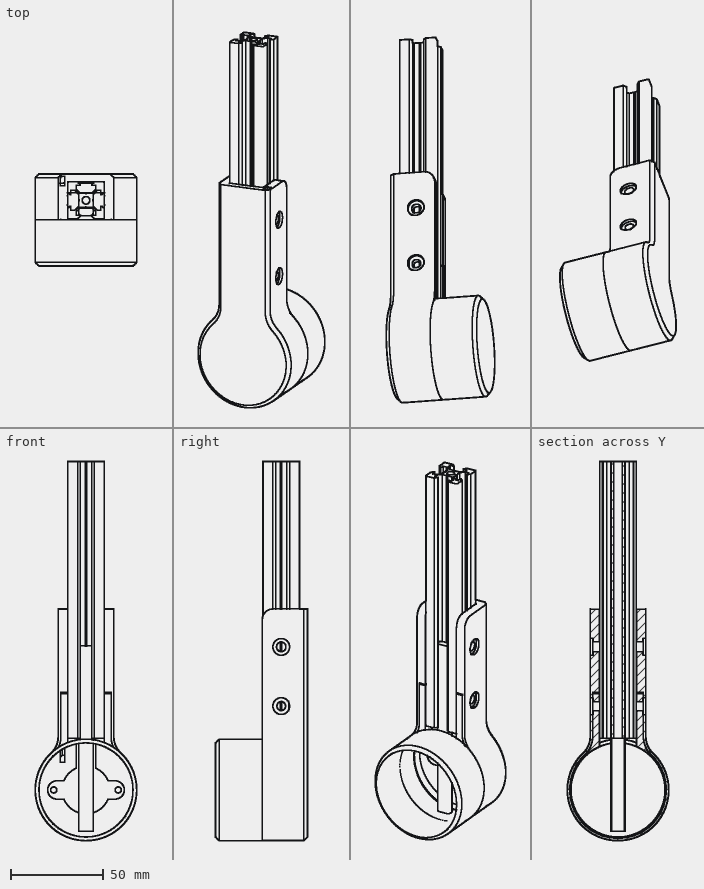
import cadquery as cq
import math

total_depth = 50.0
total_height = 205.5
holder_depth = 24.7
ring_depth = total_depth - holder_depth
disc_diameter = 55.0
disc_radius = disc_diameter / 2
bore_diameter = 51.0
bore_radius = bore_diameter / 2
edge_chamfer = disc_radius - bore_radius
axis_z = disc_radius

neck_width = 30.2
neck_top = 125.5
neck_blend_radius = 12.3
neck_front_round = 6.0

profile_width = 20.0
profile_half = profile_width / 2
profile_corner_radius = 0.51
profile_bore = 4.1
extrusion_length = 150.0
extrusion_bottom = total_height - extrusion_length
extrusion_front = 0.5
extrusion_back = extrusion_front + profile_width
extrusion_axis_y = extrusion_front + profile_half
lip_outer_half = 4.5
lip_inner_half = 3.0
lip_depth = 1.8
cavity_half = 5.3
cavity_straight_depth = 4.0
slot_floor_half = 3.0
slot_depth = 6.2
floor_groove_half = 0.5
floor_groove_depth = 0.2

strip_width = 8.0
strip_thickness = 4.0
strip_length = 100.5
strip_bottom = 5.1
strip_edge_radius = 1.8
strip_back_chamfer = 0.6
strip_rise_into_lips = 0.2
strip_front = extrusion_front + lip_depth - strip_rise_into_lips

seat_wall = 1.55
seat_depth = 14.4
seat_top = 80.4
insert_top_gap = 0.6

floor_thickness = 5.0
floor_y = holder_depth - floor_thickness
module_thickness = 2.0
module_radius = 13.0
module_ear_span = 41.5
module_ear_width = 9.9
module_lead_width = 10.5
module_hole_diameter = 3.3
module_hole_spacing = 35.0

duct_left = -14.0
duct_width = 2.5
duct_front = 18.3
duct_back = 23.5
duct_corner_chamfer = 1.0
duct_bottom = 42.5

lower_screw_z = 73.0
upper_screw_z = 105.0
screw_hole_diameter = 5.1
insert_hole_diameter = 4.7
counterbore_diameter = 9.0
counterbore_depth = seat_wall


def box_between(x0, x1, y0, y1, z0, z1):
    return cq.Workplane("XY").box(x1 - x0, y1 - y0, z1 - z0, centered=False).translate((x0, y0, z0))


def cylinder_along_y(radius, y0, y1, x=0.0):
    return cq.Workplane("XZ", origin=(x, y0, axis_z)).circle(radius).extrude(y0 - y1)


def cylinder_along_x(diameter, half_length, z):
    return (
        cq.Workplane("YZ", origin=(0, extrusion_axis_y, z))
        .circle(diameter / 2)
        .extrude(half_length, both=True)
    )


def neck_and_disc(inset, top, depth):
    """Disc blended into a straight neck, from Y = 0 backwards, shrunk all round by the inset."""
    radius = disc_radius - inset
    half = neck_width / 2 - inset
    blend = neck_blend_radius + inset
    blend_x = half + blend
    blend_z = math.sqrt((radius + blend) ** 2 - blend_x**2)
    tangent_x = blend_x * radius / (radius + blend)
    tangent_z = blend_z * radius / (radius + blend)
    bisector = math.pi + math.atan2(blend_z, blend_x) / 2
    middle_x = blend_x + blend * math.cos(bisector)
    middle_z = blend_z + blend * math.sin(bisector)
    return (
        cq.Workplane("XZ", origin=(0, 0, axis_z))
        .moveTo(-half, top - axis_z)
        .lineTo(half, top - axis_z)
        .lineTo(half, blend_z)
        .threePointArc((middle_x, middle_z), (tangent_x, tangent_z))
        .threePointArc((0, -radius), (-tangent_x, tangent_z))
        .threePointArc((-middle_x, middle_z), (-half, blend_z))
        .close()
        .extrude(-depth)
    )


def module_blank():
    """Round plate with two ears and a lead that runs up to the extrusion, without its holes."""
    start = (0, floor_y, axis_z)
    ears = (
        cq.Workplane("XZ", origin=start)
        .slot2D(module_ear_span, module_ear_width)
        .extrude(-module_thickness)
    )
    center = cylinder_along_y(module_radius, floor_y, floor_y + module_thickness)
    lead = box_between(
        -module_lead_width / 2, module_lead_width / 2,
        floor_y, floor_y + module_thickness,
        axis_z, extrusion_bottom,
    )
    return ears.union(center).union(lead)


def cable_duct():
    """Vertical duct with one chamfered corner; its lower end ramps out through the floor."""
    duct = box_between(duct_left, duct_left + duct_width, duct_front, duct_back, duct_bottom, neck_top)
    duct = duct.edges("|Z and <X and >Y").chamfer(duct_corner_chamfer)
    rise = duct_back - floor_y
    ramp = (
        cq.Workplane("YZ", origin=(duct_left, floor_y, duct_bottom))
        .polyline([(0, 0), (rise, 0), (rise, rise)])
        .close()
        .extrude(duct_width)
    )
    return duct.cut(ramp)


def make_holder():
    body = neck_and_disc(0, neck_top, holder_depth)
    body = body.faces(">Y").edges("not(>Z)").chamfer(edge_chamfer)
    body = body.faces(">Z").edges("<Y").fillet(neck_front_round)
    body = body.cut(neck_and_disc(seat_wall, seat_top, seat_depth))
    body = body.cut(cylinder_along_y(bore_radius, 0, floor_y))
    body = body.cut(
        box_between(-profile_half, profile_half, 0, extrusion_back, extrusion_bottom, neck_top)
    )
    body = body.cut(box_between(-profile_half, profile_half, 0, floor_y, axis_z, extrusion_bottom))
    body = body.cut(module_blank()).cut(cable_duct())
    for height in (lower_screw_z, upper_screw_z):
        body = body.cut(cylinder_along_x(screw_hole_diameter, neck_width / 2, height))
        counterbores = cylinder_along_x(counterbore_diameter, neck_width / 2, height).cut(
            cylinder_along_x(counterbore_diameter, neck_width / 2 - counterbore_depth, height)
        )
        body = body.cut(counterbores)
    return body


def make_module():
    body = module_blank()
    for side in (-1, 1):
        hole_x = side * module_hole_spacing / 2
        body = body.cut(
            cylinder_along_y(module_hole_diameter / 2, floor_y, floor_y + module_thickness, hole_x)
        )
    return body


def make_lid():
    """Open ring with an insert that fills the seat of the holder on both sides of the extrusion."""
    ring = cylinder_along_y(disc_radius, -ring_depth, 0).faces("<Y").edges().chamfer(edge_chamfer)
    insert = neck_and_disc(seat_wall, seat_top - insert_top_gap, seat_depth)
    insert = insert.cut(box_between(-profile_half, profile_half, 0, seat_depth, axis_z, seat_top))
    insert = insert.cut(cylinder_along_x(insert_hole_diameter, neck_width / 2, lower_screw_z))
    return ring.union(insert).cut(cylinder_along_y(bore_radius, -ring_depth, seat_depth))


def t_slot():
    """T-slot opening towards -Y, with a shallow V-groove along the middle of its floor."""
    flare_depth = lip_outer_half - lip_inner_half
    right_side = [
        (lip_outer_half, 0),
        (lip_inner_half, flare_depth),
        (lip_inner_half, lip_depth),
        (cavity_half, lip_depth),
        (cavity_half, cavity_straight_depth),
        (slot_floor_half, slot_depth),
        (floor_groove_half, slot_depth),
    ]
    left_side = [(-x, y) for x, y in reversed(right_side)]
    outline = right_side + [(0, slot_depth + floor_groove_depth)] + left_side
    return (
        cq.Workplane("XY", origin=(0, -profile_half, 0))
        .polyline(outline)
        .close()
        .extrude(extrusion_length)
    )


def make_extrusion():
    body = cq.Workplane("XY").rect(profile_width, profile_width).extrude(extrusion_length)
    body = body.edges("|Z").fillet(profile_corner_radius)
    body = body.cut(cq.Workplane("XY").circle(profile_bore / 2).extrude(extrusion_length))
    for quarter in range(4):
        body = body.cut(t_slot().rotate((0, 0, 0), (0, 0, 1), 90 * quarter))
    return body.translate((0, extrusion_axis_y, extrusion_bottom))


def make_strip():
    body = box_between(
        -strip_width / 2, strip_width / 2,
        strip_front, strip_front + strip_thickness,
        strip_bottom, strip_bottom + strip_length,
    )
    body = body.edges("|Z and <Y").fillet(strip_edge_radius)
    return body.edges("|Z and >Y").chamfer(strip_back_chamfer)


holder = make_holder()
module = make_module()
lid = make_lid()
extrusion = make_extrusion()
strip = make_strip()

result = cq.Compound.makeCompound(
    [holder.val(), module.val(), lid.val(), extrusion.val(), strip.val()]
)